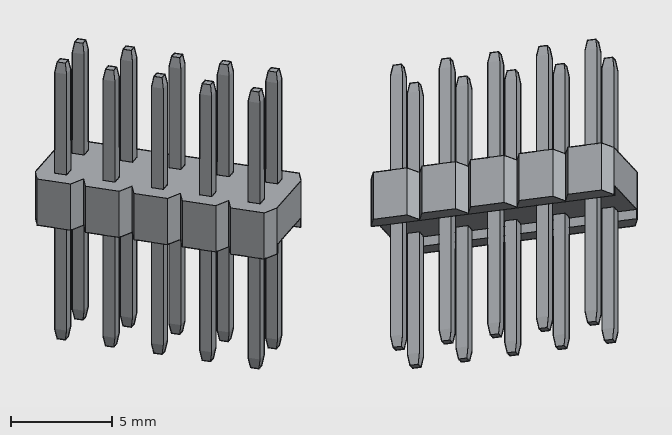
import cadquery as cq


COLUMNS = 5
ROWS = 2
BODY_LENGTH = 12.7
PITCH = BODY_LENGTH / COLUMNS

PIN_LENGTH = 15.0
PIN_WIDTH = 0.63
TIP_LENGTH = 0.55
TIP_WIDTH = 0.44

BODY_WIDTH = ROWS * PITCH
BODY_HEIGHT = 2.5
PIN_ABOVE_BODY = 6.0
BODY_TOP = PIN_LENGTH - PIN_ABOVE_BODY
BODY_BOTTOM = BODY_TOP - BODY_HEIGHT

NOTCH_DEPTH = 0.8
NOTCH_HALF_WIDTH = 0.39

CHANNEL_WIDTH = 3.28
CHANNEL_DEPTH = 0.5


def make_body():
    """Strip with notched long sides and a channel along its underside."""
    body = (
        cq.Workplane("XY")
        .workplane(offset=BODY_BOTTOM)
        .rect(BODY_LENGTH, BODY_WIDTH)
        .extrude(BODY_HEIGHT)
    )
    for boundary in range(COLUMNS + 1):
        x = boundary * PITCH - BODY_LENGTH / 2
        for side in (-1, 1):
            edge_y = side * BODY_WIDTH / 2
            notch = (
                cq.Workplane("XY")
                .workplane(offset=BODY_BOTTOM)
                .moveTo(x - NOTCH_HALF_WIDTH, edge_y)
                .lineTo(x + NOTCH_HALF_WIDTH, edge_y)
                .lineTo(x, edge_y - side * NOTCH_DEPTH)
                .close()
                .extrude(BODY_HEIGHT)
            )
            body = body.cut(notch)
    channel = (
        cq.Workplane("XY")
        .workplane(offset=BODY_BOTTOM)
        .rect(BODY_LENGTH, CHANNEL_WIDTH)
        .extrude(CHANNEL_DEPTH)
    )
    return body.cut(channel)


def make_pin():
    """Square pin on the Z axis, tapered at both ends."""
    shank = (
        cq.Workplane("XY")
        .workplane(offset=TIP_LENGTH)
        .rect(PIN_WIDTH, PIN_WIDTH)
        .extrude(PIN_LENGTH - 2 * TIP_LENGTH)
    )
    upper_tip = (
        shank.faces(">Z")
        .workplane()
        .rect(PIN_WIDTH, PIN_WIDTH)
        .workplane(offset=TIP_LENGTH)
        .rect(TIP_WIDTH, TIP_WIDTH)
        .loft(combine=False)
    )
    lower_tip = upper_tip.mirror("XY", (0, 0, PIN_LENGTH / 2))
    return shank.union(upper_tip).union(lower_tip)


result = make_body()
pin = make_pin()
for column in range(COLUMNS):
    for row in range(ROWS):
        pin_x = (column - (COLUMNS - 1) / 2) * PITCH
        pin_y = (row - (ROWS - 1) / 2) * PITCH
        result = result.union(pin.translate((pin_x, pin_y, 0)))